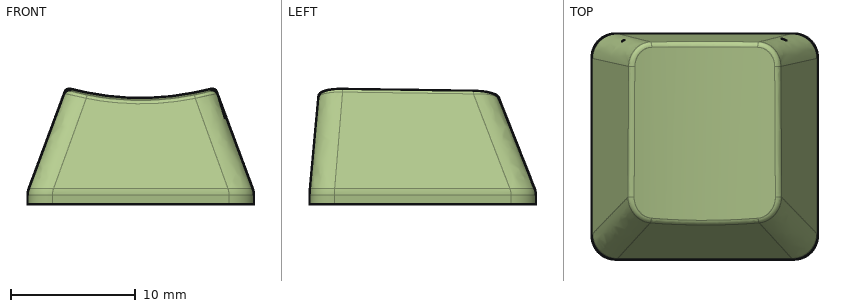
import cadquery as cq
import math

base_size = 18.16
base_corner = 2.0
skirt_height = 1.02
blend_reach = 0.27

loft_top = 10.17
side_slope = 0.372
front_slope = 0.395
back_slope = 0.092
top_corner = 1.9

dish_radius = 21.43
dish_floor = 8.43
dish_tilt = 0.9
dish_length = 3 * base_size
top_round = 0.42


def rounded_block(front, back, half_width, corner, bottom, height):
    """Straight block with rounded upright edges."""
    return (
        cq.Workplane("XY", origin=(0, (front + back) / 2, bottom))
        .rect(2 * half_width, back - front)
        .extrude(height)
        .edges("|Z")
        .fillet(corner)
    )


def rounded_wire(front, back, half_width, corner, height):
    """Rounded rectangle at one height, as a closed wire."""
    block = rounded_block(front, back, half_width, corner, height, 0.18)
    return block.faces("<Z").val().outerWire()


def wall_section(run, height):
    """Outline after the walls have sloped inward over a rise of run."""
    half = base_size / 2
    fraction = run / (loft_top - skirt_height)
    return rounded_wire(
        -half + front_slope * run,
        half - back_slope * run,
        half - side_slope * run,
        base_corner + fraction * (top_corner - base_corner),
        height,
    )


def skirt_bend():
    """Smooth parabolic bend from the upright skirt to the sloping walls."""
    sections = [
        wall_section(0, skirt_height - blend_reach),
        wall_section(blend_reach / 4, skirt_height),
        wall_section(blend_reach, skirt_height + blend_reach),
    ]
    return cq.Workplane(cq.Solid.makeLoft(sections, False))


def tapered_body():
    bottom = wall_section(blend_reach, skirt_height + blend_reach)
    top = wall_section(loft_top - skirt_height, loft_top)
    return cq.Workplane(cq.Solid.makeLoft([bottom, top], True))


def skirt():
    half = base_size / 2
    return rounded_block(-half, half, half, base_corner, 0, skirt_height - blend_reach)


def dish_cutter():
    tilt = math.radians(dish_tilt)
    axis = cq.Vector(0, math.cos(tilt), math.sin(tilt))
    middle = cq.Vector(0, 0, dish_floor + dish_radius)
    start = middle - axis * (dish_length / 2)
    return cq.Workplane(cq.Solid.makeCylinder(dish_radius, dish_length, start, axis))


body = skirt().union(skirt_bend()).union(tapered_body())
body = body.cut(dish_cutter())
result = body.faces(">Z").edges().fillet(top_round)